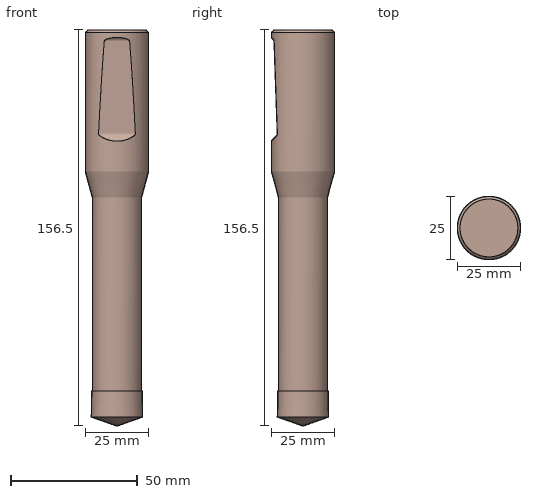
import cadquery as cq
import math

length = 156.5
shank_radius = 25.0 / 2
neck_radius = 19.4 / 2

point_height = 3.6
head_top = 14.0
taper_bottom = 90.1
taper_top = 100.5
top_chamfer = 1.1

head_edge_radius = 20.3 / 2
head_top_radius = 20.0 / 2

flat_bottom = 115.0
flat_top = 152.5
flat_angle = 2.0
flat_top_depth = 1.03
flat_bottom_depth = flat_top_depth + (flat_top - flat_bottom) * math.tan(math.radians(flat_angle))
lower_wall_rise = 2.5
wall_fillet = 1.5
upper_wall_rise = 1.1


def make_clamping_flat():
    """Prism removed from the shank, with a sloping wall and rounded corner at each end."""
    surface = -shank_radius
    profile = [
        (surface, flat_bottom - lower_wall_rise),
        (surface + flat_bottom_depth, flat_bottom),
        (surface + flat_top_depth, flat_top),
        (surface, flat_top + upper_wall_rise),
    ]
    prism = cq.Workplane("YZ").polyline(profile).close().extrude(shank_radius, both=True)
    corners = prism.edges("|X").edges("not(<Y)")
    return corners.fillet(wall_fillet)


def make_holder():
    """Clamping shank and slimmer neck, turned as one piece."""
    profile = [
        (0, head_top),
        (neck_radius, head_top),
        (neck_radius, taper_bottom),
        (shank_radius, taper_top),
        (shank_radius, length - top_chamfer),
        (shank_radius - top_chamfer, length),
        (0, length),
    ]
    body = cq.Workplane("XZ").polyline(profile).close().revolve(360, (0, 0), (0, 1))
    return body.cut(make_clamping_flat())


def make_cutting_head():
    """Tapered collar with a conical point, seated on the end of the neck."""
    profile = [
        (0, 0),
        (head_edge_radius, point_height),
        (head_top_radius, head_top),
        (0, head_top),
    ]
    return cq.Workplane("XZ").polyline(profile).close().revolve(360, (0, 0), (0, 1))


holder = make_holder()
cutting_head = make_cutting_head()

result = cq.Compound.makeCompound([holder.val(), cutting_head.val()])